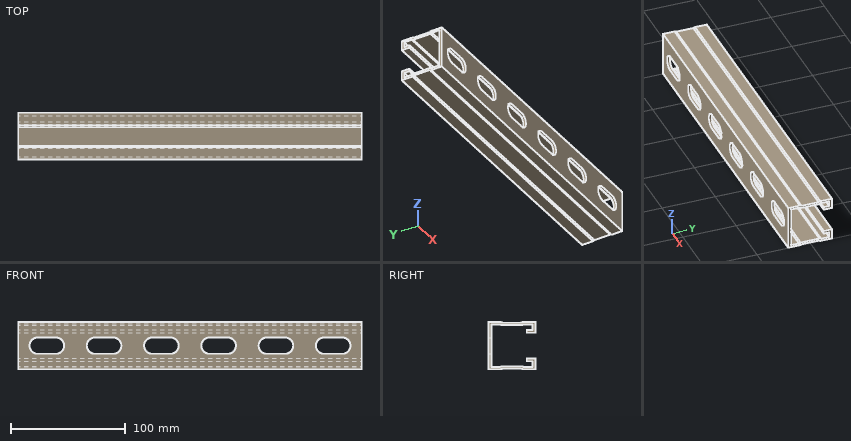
import cadquery as cq

length = 300.0
depth = 41.0
height = 41.5

web_thickness = 2.7
flange_thickness = 2.25
lip_thickness = 2.7

lip_height = 9.5
lip_length = 7.8

joggle_start = 10.8
joggle_end = 30.0
slope_width = 1.6
joggle_depth = 0.5

slot_count = 6
slot_length = 30.0
slot_width = 14.0
slot_pitch = length / slot_count

front = -depth / 2
back = depth / 2
top = height / 2
flange_inside = top - flange_thickness
lip_bottom = top - lip_height
lip_tip = back - lip_length
near_step = front + joggle_start
far_step = front + joggle_end


def make_channel():
    """C-shaped rail, symmetric about the horizontal mid-plane."""
    upper_half = [
        (front, 0),
        (front, top),
        (near_step, top),
        (near_step + slope_width, top - joggle_depth),
        (far_step - slope_width, top - joggle_depth),
        (far_step, top),
        (back, top),
        (back, lip_bottom),
        (lip_tip, lip_bottom),
        (lip_tip, lip_bottom + lip_thickness),
        (back - lip_thickness, lip_bottom + lip_thickness),
        (back - lip_thickness, flange_inside),
        (far_step + slope_width / 2, flange_inside),
        (far_step - slope_width / 2, flange_inside - joggle_depth),
        (near_step + slope_width / 2, flange_inside - joggle_depth),
        (near_step - slope_width / 2, flange_inside),
        (front + web_thickness, flange_inside),
        (front + web_thickness, 0),
    ]
    half = cq.Workplane("YZ").polyline(upper_half).close().extrude(length / 2, both=True)
    return half.union(half.mirror("XY")).clean()


def make_slots():
    """Row of round-ended slots reaching through the web only."""
    return (
        cq.Workplane("XZ", origin=(0, front + web_thickness, 0))
        .rarray(slot_pitch, 3, slot_count, 1)
        .slot2D(slot_length, slot_width)
        .extrude(web_thickness)
    )


result = make_channel().cut(make_slots())